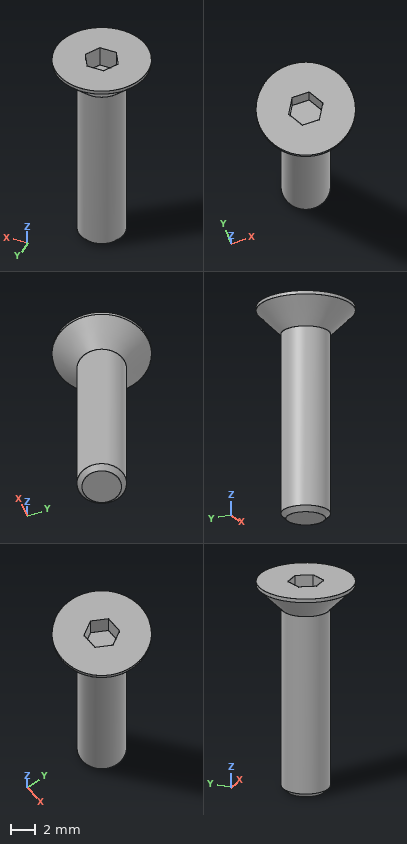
import cadquery as cq
import math

total_length = 18.0
head_diameter = 8.0
shank_diameter = 4.0
rim_height = 0.3
tip_chamfer = 0.41
socket_across_flats = 2.5
socket_depth = 1.8

head_radius = head_diameter / 2
shank_radius = shank_diameter / 2
cone_height = head_radius - shank_radius
cone_top = total_length - rim_height
cone_bottom = cone_top - cone_height


def screw_body():
    """Revolve the half profile of the head and shank about the Z axis."""
    profile = (
        cq.Workplane("XZ")
        .moveTo(0, 0)
        .lineTo(shank_radius - tip_chamfer, 0)
        .lineTo(shank_radius, tip_chamfer)
        .lineTo(shank_radius, cone_bottom)
        .lineTo(head_radius, cone_top)
        .lineTo(head_radius, total_length)
        .lineTo(0, total_length)
        .close()
    )
    return profile.revolve(360, (0, 0), (0, 1))


def hex_socket():
    """Hexagonal prism with two corners on the X axis, sunk from the head top."""
    across_corners = socket_across_flats / math.cos(math.pi / 6)
    return (
        cq.Workplane("XY")
        .workplane(offset=total_length - socket_depth)
        .polygon(6, across_corners)
        .extrude(socket_depth)
    )


result = screw_body().cut(hex_socket())